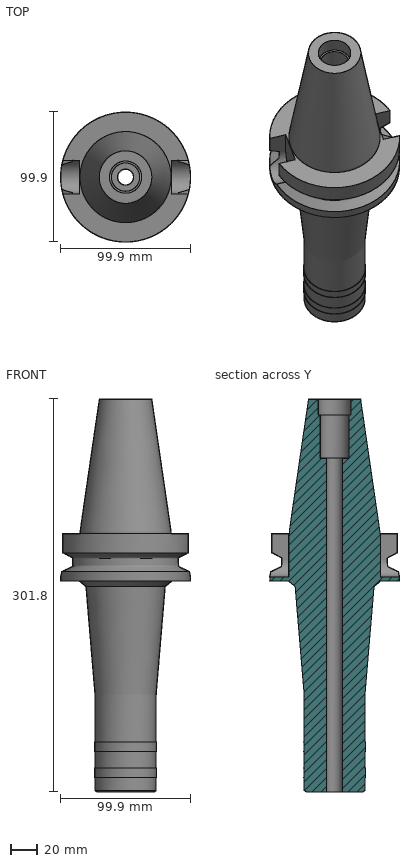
import cadquery as cq

total_height = 301.8

gauge_z = 200.0
gauge_radius = 35.0
taper_ratio = 7 / 24
taper_small_radius = gauge_radius - (total_height - gauge_z) * taper_ratio / 2

flange_radius = 49.95
flange_top_z = 198.5
flange_bottom_z = 162.0
groove_radius = 42.5
groove_corner_radius = 1.0
groove_upper_edge_z = 183.8
groove_floor_top_z = 180.0
groove_floor_bottom_z = 173.2
groove_lower_edge_z = 169.3

collar_radius = 35.5
neck_top_z = 157.8
neck_top_radius = 30.5
neck_bottom_z = 74.8
shank_radius = 23.5
nose_chamfer_radial = 1.8
nose_chamfer_height = 1.2

band_radius = 23.8
band_height = 7.2
band_bottoms = (11.2, 31.5)

slot_width = 25.7
slot_bottom_z = 165.5
slot_floor_x = 35.3

mouth_radius = 12.5
mouth_depth = 12.0
thread_radius = 11.0
thread_depth = 45.3
coolant_radius = 6.0


def make_body():
    """Revolve the outer half profile about Z."""
    profile = [
        (0, 0),
        (shank_radius - nose_chamfer_radial, 0),
        (shank_radius, nose_chamfer_height),
        (shank_radius, neck_bottom_z),
        (neck_top_radius, neck_top_z),
        (collar_radius, flange_bottom_z),
        (flange_radius, flange_bottom_z),
        (flange_radius, groove_lower_edge_z),
        (groove_radius, groove_floor_bottom_z),
        (groove_radius, groove_floor_top_z),
        (flange_radius, groove_upper_edge_z),
        (flange_radius, flange_top_z),
        (gauge_radius, flange_top_z),
        (gauge_radius, gauge_z),
        (taper_small_radius, total_height),
        (0, total_height),
    ]
    return cq.Workplane("XZ").polyline(profile).close().revolve(360, (0, 0), (0, 1))


def round_groove_floor(body):
    """Fillet the two circular corners at the bottom of the gripper groove."""
    margin = groove_corner_radius
    floor_zone = cq.selectors.BoxSelector(
        (-flange_radius, -flange_radius, groove_floor_bottom_z - margin),
        (flange_radius, flange_radius, groove_floor_top_z + margin),
    )
    return body.edges("%CIRCLE").edges(floor_zone).fillet(groove_corner_radius)


def make_band(bottom_z):
    return cq.Workplane("XY").workplane(offset=bottom_z).circle(band_radius).extrude(band_height)


def make_drive_slot(side):
    """Round-bottomed slot, open at the flange top; side is -1 or +1 along X."""
    half_width = slot_width / 2
    arc_center_z = slot_bottom_z + half_width
    length = flange_radius - slot_floor_x
    start_x = slot_floor_x if side > 0 else -flange_radius
    return (
        cq.Workplane("YZ")
        .workplane(offset=start_x)
        .moveTo(-half_width, flange_top_z)
        .lineTo(-half_width, arc_center_z)
        .threePointArc((0, slot_bottom_z), (half_width, arc_center_z))
        .lineTo(half_width, flange_top_z)
        .close()
        .extrude(length)
    )


def make_bore(radius, depth):
    return cq.Workplane("XY").workplane(offset=total_height - depth).circle(radius).extrude(depth)


result = round_groove_floor(make_body())
for band_bottom in band_bottoms:
    result = result.union(make_band(band_bottom))
for slot_side in (-1, 1):
    result = result.cut(make_drive_slot(slot_side))
result = result.cut(make_bore(mouth_radius, mouth_depth))
result = result.cut(make_bore(thread_radius, thread_depth))
result = result.cut(make_bore(coolant_radius, total_height))